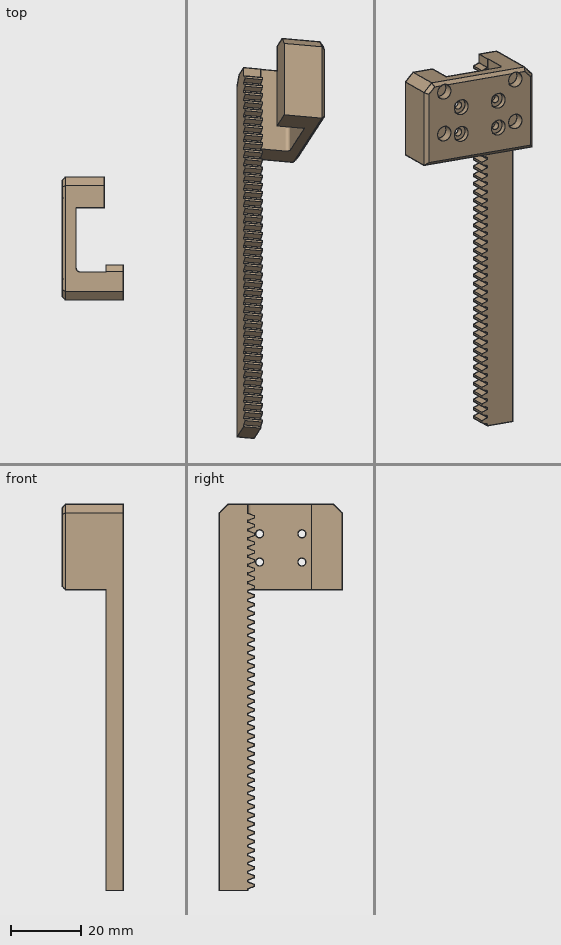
import cadquery as cq
import math

width_x = 17.4
depth_y = 35.0
height_z = 109.66

block_height = 24.3
plate_thickness = 4.0
short_arm_reach = 12.0
short_arm_width = 8.8
long_arm_width = 8.0
corner_chamfer = 2.5
face_chamfer = 1.0
inner_fillet = 1.2
block_bottom = height_z - block_height

rack_width = 5.0
pressure_angle = math.radians(20)
pitch = 2.49
addendum = 0.8
dedendum = 1.0
root_y = 8.2
tip_y = root_y + addendum + dedendum
first_tooth_z = 1.5
tooth_count = 43

blind_diameter = 4.3
blind_depth = 3.0
blind_spacing_y = 23.0
blind_drops = (2.95, 15.45)
screw_diameter = 2.2
screw_head_diameter = 4.4
screw_head_depth = 1.8
screw_spacing_y = 12.0
screw_drops = (8.4, 16.4)


def make_block():
    """C-shaped block with chamfered top corners and a chamfered mounting face."""
    block = (
        cq.Workplane("XY")
        .workplane(offset=block_bottom)
        .box(width_x, depth_y, block_height, centered=False)
        .edges("|X and >Z")
        .chamfer(corner_chamfer)
        .faces("<X")
        .chamfer(face_chamfer)
    )
    channel_width = depth_y - short_arm_width - long_arm_width
    channel = (
        cq.Workplane("XY")
        .workplane(offset=block_bottom)
        .moveTo(plate_thickness, long_arm_width)
        .rect(width_x, channel_width, centered=False)
        .extrude(block_height)
        .edges("|Z and <X and <Y")
        .fillet(inner_fillet)
    )
    short_arm_relief = (
        cq.Workplane("XY")
        .workplane(offset=block_bottom)
        .moveTo(short_arm_reach, long_arm_width)
        .rect(width_x, depth_y, centered=False)
        .extrude(block_height)
    )
    return block.cut(channel).cut(short_arm_relief)


def make_rack():
    """Bar carrying a straight-flanked tooth row along its +Y side."""
    half_root = pitch / 4 + dedendum * math.tan(pressure_angle)
    half_tip = pitch / 4 - addendum * math.tan(pressure_angle)
    outline = cq.Workplane("YZ").workplane(offset=width_x - rack_width).moveTo(0, 0).lineTo(root_y, 0)
    for index in range(tooth_count):
        tooth_z = first_tooth_z + index * pitch
        outline = (
            outline.lineTo(root_y, tooth_z - half_root)
            .lineTo(tip_y, tooth_z - half_tip)
            .lineTo(tip_y, tooth_z + half_tip)
            .lineTo(root_y, tooth_z + half_root)
        )
    return (
        outline.lineTo(root_y, height_z)
        .lineTo(corner_chamfer, height_z)
        .lineTo(0, height_z - corner_chamfer)
        .close()
        .extrude(rack_width)
    )


def make_holes(diameter, depth, spacing_y, drops):
    """Four cylinders entering the mounting face along +X."""
    centres = [
        (depth_y / 2 + side * spacing_y / 2, height_z - drop)
        for side in (-1, 1)
        for drop in drops
    ]
    return cq.Workplane("YZ").pushPoints(centres).circle(diameter / 2).extrude(depth)


result = (
    make_block()
    .union(make_rack())
    .cut(make_holes(blind_diameter, blind_depth, blind_spacing_y, blind_drops))
    .cut(make_holes(screw_head_diameter, screw_head_depth, screw_spacing_y, screw_drops))
    .cut(make_holes(screw_diameter, plate_thickness, screw_spacing_y, screw_drops))
)